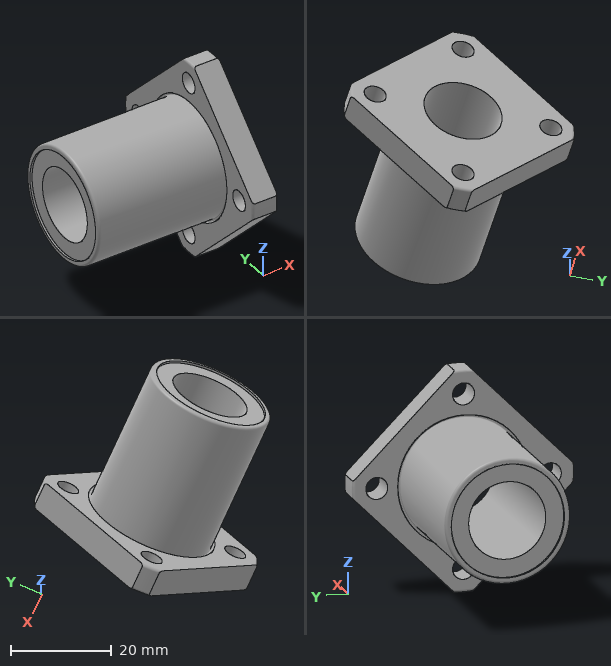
import cadquery as cq

total_length = 36.0
flange_diameter = 46.0
flange_thickness = 6.0
flange_square = 35.0
flange_rim_round = 0.6
flange_start = total_length - flange_thickness

sleeve_diameter = 26.0
sleeve_end_round = 0.6
bore_diameter = 16.0
end_recess_diameter = 23.45
end_recess_depth = 0.5

relief_diameter = 27.3
relief_depth = 0.5
relief_floor_round = 0.2

hole_diameter = 4.5
hole_circle_diameter = 36.0
hole_count = 4


def cylinder(diameter, start, length):
    """Solid cylinder along X, beginning at X = start."""
    return cq.Workplane("YZ", origin=(start, 0, 0)).circle(diameter / 2).extrude(length)


def make_flange():
    """Round disc with rounded rims, cut to a square standing on its corner."""
    disc = cylinder(flange_diameter, flange_start, flange_thickness).edges("%CIRCLE").fillet(flange_rim_round)
    square = (
        cq.Workplane("YZ", origin=(flange_start, 0, 0))
        .transformed(rotate=(0, 0, 45))
        .rect(flange_square, flange_square)
        .extrude(flange_thickness)
    )
    holes = (
        cq.Workplane("YZ", origin=(flange_start, 0, 0))
        .polarArray(hole_circle_diameter / 2, 0, 360, hole_count)
        .circle(hole_diameter / 2)
        .extrude(flange_thickness)
    )
    return disc.intersect(square).cut(holes)


def make_relief():
    """Ring-shaped groove around the sleeve, with both floor corners rounded."""
    ring = cylinder(relief_diameter, flange_start, relief_depth).cut(
        cylinder(sleeve_diameter, flange_start, relief_depth)
    )
    return ring.faces(">X").edges().fillet(relief_floor_round)


def make_sleeve():
    """Full-length sleeve with a rounded free end and a shallow end recess."""
    sleeve = cylinder(sleeve_diameter, 0, total_length).faces("<X").edges().fillet(sleeve_end_round)
    return sleeve.cut(cylinder(end_recess_diameter, 0, end_recess_depth))


bore = cylinder(bore_diameter, 0, total_length)
result = make_flange().union(make_sleeve()).cut(make_relief()).cut(bore)